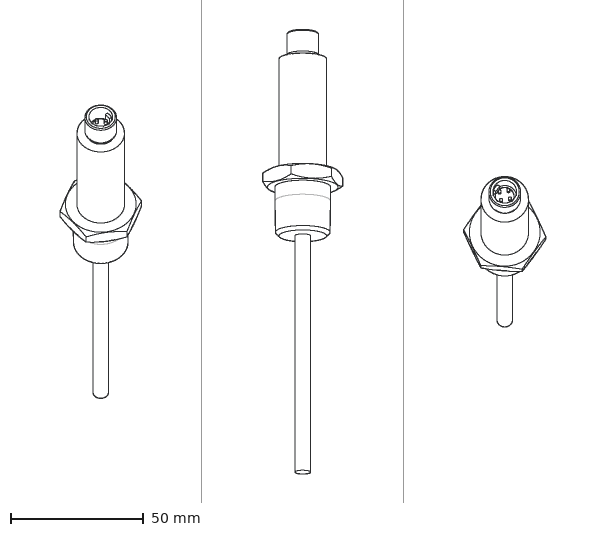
import cadquery as cq
import math

total_height = 171.0
shoulder_z = 160.9
hex_top_z = 116.8
hex_height = 5.8
thread_start_z = 105.5
thread_end_z = 92.0

rod_diameter = 6.0
housing_diameter = 18.0
connector_diameter = 12.0
neck_diameter = 10.6

hex_sides = 6
hex_flats = 27.0
hex_chamfer_angle = 30.0
hex_face_diameter = 26.7

collar_diameter = 21.0
thread_taper = 1 / 32
end_chamfer = 1.4

connector_chamfer = 0.5
neck_height = 1.5

socket_diameter = 8.9
socket_depth = 6.8
insert_diameter = 7.0
insert_height = 0.9
pin_diameter = 1.2
pin_circle_radius = 2.4
pin_count = 4
pin_height = 2.5
key_width = 2.5
key_inner_radius = 3.2
key_recess = 2.5

hex_bottom_z = hex_top_z - hex_height
socket_floor_z = total_height - socket_depth


def cylinder(diameter, bottom_z, top_z):
    height = top_z - bottom_z
    return cq.Workplane("XY", origin=(0, 0, bottom_z)).circle(diameter / 2).extrude(height)


def revolved(profile):
    """Revolve (radius, z) points about the probe axis."""
    return cq.Workplane("XZ").polyline(profile).close().revolve(360, (0, 0, 0), (0, 1, 0))


def make_hexagon():
    corner_radius = hex_flats / 2 / math.cos(math.pi / hex_sides)
    face_radius = hex_face_diameter / 2
    chamfer_drop = (corner_radius - face_radius) * math.tan(math.radians(hex_chamfer_angle))
    prism = (
        cq.Workplane("XY", origin=(0, 0, hex_bottom_z))
        .polygon(hex_sides, 2 * corner_radius)
        .extrude(hex_height)
    )
    envelope = revolved([
        (0, hex_bottom_z),
        (face_radius, hex_bottom_z),
        (corner_radius, hex_bottom_z + chamfer_drop),
        (corner_radius, hex_top_z - chamfer_drop),
        (face_radius, hex_top_z),
        (0, hex_top_z),
    ])
    return prism.intersect(envelope)


def make_thread():
    collar_radius = collar_diameter / 2
    taper_end_z = thread_end_z + end_chamfer
    taper_end_radius = collar_radius - (thread_start_z - taper_end_z) * thread_taper / 2
    return revolved([
        (0, thread_end_z),
        (taper_end_radius - end_chamfer, thread_end_z),
        (taper_end_radius, taper_end_z),
        (collar_radius, thread_start_z),
        (collar_radius, hex_bottom_z),
        (0, hex_bottom_z),
    ])


def make_connector():
    sleeve_radius = connector_diameter / 2
    neck_radius = neck_diameter / 2
    neck_top_z = shoulder_z + neck_height
    return revolved([
        (0, shoulder_z),
        (neck_radius, shoulder_z),
        (neck_radius, neck_top_z - (sleeve_radius - neck_radius)),
        (sleeve_radius, neck_top_z),
        (sleeve_radius, total_height - connector_chamfer),
        (sleeve_radius - connector_chamfer, total_height),
        (0, total_height),
    ])


def make_pins():
    return (
        cq.Workplane("XY", origin=(0, 0, socket_floor_z))
        .polarArray(pin_circle_radius, 0, 360, pin_count)
        .circle(pin_diameter / 2)
        .extrude(pin_height)
    )


def make_key():
    """Rib on the +Y wall of the socket, reaching slightly into the sleeve wall."""
    key_outer_radius = (socket_diameter + connector_diameter) / 4
    key_length = key_outer_radius - key_inner_radius
    return (
        cq.Workplane("XY", origin=(0, key_inner_radius + key_length / 2, socket_floor_z))
        .rect(key_width, key_length)
        .extrude(socket_depth - key_recess)
    )


rod = cylinder(rod_diameter, 0, thread_end_z)
housing = cylinder(housing_diameter, hex_top_z, shoulder_z)
socket = cylinder(socket_diameter, socket_floor_z, total_height)
insert = cylinder(insert_diameter, socket_floor_z, socket_floor_z + insert_height)

result = (
    rod.union(make_thread())
    .union(make_hexagon())
    .union(housing)
    .union(make_connector())
    .cut(socket)
    .union(insert)
    .union(make_pins())
    .union(make_key())
)